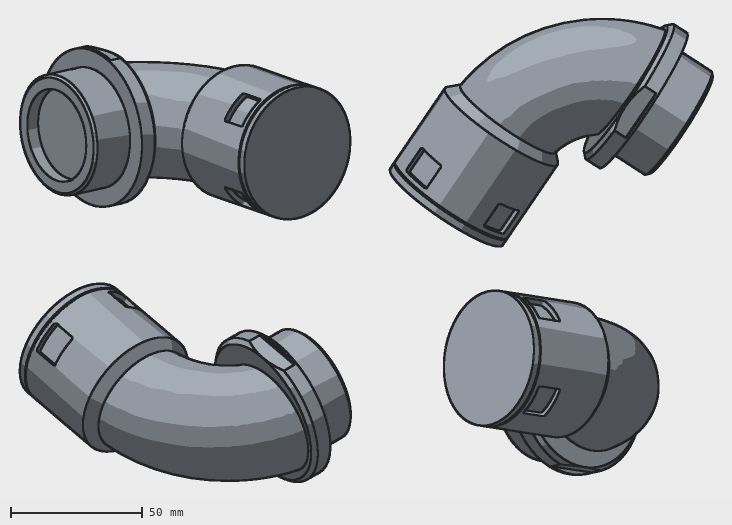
import cadquery as cq
import math

spigot_diameter = 47.0
spigot_length = 17.0
spigot_chamfer = 1.1
recess_diameter = 36.0
recess_depth = 5.4

flange_diameter = 61.5
flange_thickness = 8.0
flange_chamfer = 1.8
flat_to_axis = flange_diameter / 2 - flange_chamfer
flat_lip = 1.1

overall_length = 107.0
overall_depth = 82.5
socket_diameter = 52.0
socket_length = 37.9
cone_length = 7.5
groove_width = 0.4
groove_depth = 0.5
end_ring_width = 3.1

window_count = 4
window_length = 10.8
window_width = 13.1
window_corner_radius = 0.7
window_floor_diameter = 47.5
window_end_gap = 5.8

pipe_diameter = 44.1
bend_radius = 47.5
bend_inset = 2.1

flange_top = spigot_length + flange_thickness
socket_end = overall_length - flange_diameter / 2
socket_start = socket_end - socket_length
socket_axis_y = overall_depth - socket_diameter / 2
bend_end = socket_start + bend_inset
bend_center_y = socket_axis_y - bend_radius


def cylinder_y(diameter, start, length):
    """Cylinder about the flange axis, running toward +Y."""
    return cq.Workplane("XZ", origin=(0, start, 0)).circle(diameter / 2).extrude(-length)


def cylinder_x(diameter, start, length):
    """Cylinder about the socket axis, running toward +X."""
    return cq.Workplane("YZ", origin=(start, socket_axis_y, 0)).circle(diameter / 2).extrude(length)


def make_spigot():
    return cylinder_y(spigot_diameter, 0, spigot_length).faces("<Y").chamfer(spigot_chamfer)


def make_flange():
    flange = cylinder_y(flange_diameter, spigot_length, flange_thickness)
    flange = flange.faces(">Y").chamfer(flange_chamfer)
    lip = cylinder_y(flange_diameter, spigot_length, flat_lip)
    between_flats = cq.Workplane("XY").box(flange_diameter, 2 * flange_top, 2 * flat_to_axis)
    return flange.intersect(between_flats).union(lip)


def make_bend():
    """Bend that dives obliquely into the flange and ends just inside the socket."""
    bend_start_angle = math.asin((spigot_length - bend_center_y) / bend_radius)
    sweep = 90 - math.degrees(bend_start_angle)
    section = cq.Workplane("YZ", origin=(bend_end, socket_axis_y, 0)).circle(pipe_diameter / 2)
    bend = section.revolve(sweep, (-bend_radius, 0, 0), (-bend_radius, 1, 0))
    above_spigot = cylinder_y(4 * overall_length, flange_top - flange_chamfer, overall_depth)
    return bend.intersect(above_spigot)


def make_socket():
    radius = socket_diameter / 2
    profile = [
        (socket_start - cone_length, 0),
        (socket_start - cone_length, radius - cone_length),
        (socket_start, radius),
        (socket_end, radius),
        (socket_end, 0),
    ]
    socket = cq.Workplane("XY", origin=(0, socket_axis_y, 0)).polyline(profile).close()
    return socket.revolve(360, (0, 0, 0), (1, 0, 0))


def make_groove():
    start = socket_end - end_ring_width - groove_width
    outside = cylinder_x(2 * socket_diameter, start, groove_width)
    return outside.cut(cylinder_x(socket_diameter - 2 * groove_depth, start, groove_width))


def make_windows():
    """Shallow rounded rectangles around the socket, all with one cylindrical floor."""
    center_x = socket_end - window_end_gap - window_length / 2
    window = (
        cq.Workplane("XY", origin=(center_x, socket_axis_y, 0))
        .rect(window_length, window_width)
        .extrude(socket_diameter)
        .edges("|Z")
        .fillet(window_corner_radius)
    )
    window = window.cut(cylinder_x(window_floor_diameter, socket_start, socket_length))
    spacing = 360 / window_count
    axis_start = (0, socket_axis_y, 0)
    axis_end = (1, socket_axis_y, 0)
    return [window.rotate(axis_start, axis_end, spacing * (index + 0.5)) for index in range(window_count)]


result = make_spigot().union(make_flange()).union(make_bend()).union(make_socket())
result = result.cut(cylinder_y(recess_diameter, 0, recess_depth))
result = result.cut(make_groove())
for window_cut in make_windows():
    result = result.cut(window_cut)